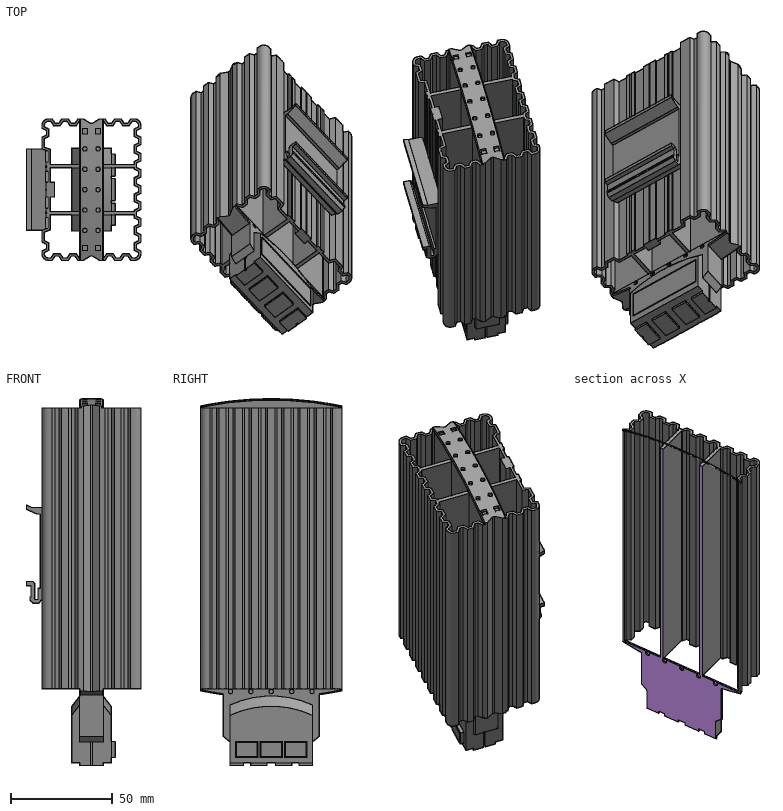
import cadquery as cq
import math

body_height = 138.8
half_width = 24.5
half_depth = 35.0
wall = 1.3
corner_radius = 3.3

end_pitch = 8.0
end_trough_x = 9.0
trough_depth = 2.2
end_trough_floor_half = 0.9
end_trough_mouth_half = 2.4
side_trough_floor_half = 1.0
side_trough_mouth_half = 2.2
end_troughs = [
    -end_trough_x - end_pitch,
    -end_trough_x,
    end_trough_x,
    end_trough_x + end_pitch,
]
outer_side_trough_y = 28.0
side_trough_count = 8
side_pitch = 2 * outer_side_trough_y / (side_trough_count - 1)
side_troughs = [i * side_pitch - outer_side_trough_y for i in range(side_trough_count)]

groove_mouth_half = 4.0
groove_floor_half = 0.5
groove_depth = 2.2

recess_half = 20.1
recess_floor_half = 19.0
recess_x = -21.5

rib_y = 11.6
rib_thickness = 1.8
pad_y = 11.5
pad_width = 4.7
boss_width = 7.5
boss_inner_x = -18.1
mark_depth = 0.4
marks = ((-pad_y, 0.5), (0, 0.27), (pad_y, 0.5))

core_half = 5.0
cap_width = 11.8
cap_half = cap_width / 2
cap_chamfer = 0.5
cap_thickness = 0.7
cap_edge = 0.9
cap_rise = 4.5
outer_vent_y = 20.1
vent_count = 5
vent_pitch = 2 * outer_vent_y / (vent_count - 1)
vent_diameter = 2.2
vent_depth = 1.5
vent_x = 3.3
side_vent_z = -1.3
square_y = 28.8
square_size = 2.5

clip_half_length = 20.1
clip_back_x = -22.5
clip_face_x = -25.4
overall_width = 56.5
clip_tip_x = half_width - overall_width

neck_half_depth = 23.7
neck_bottom = -23.4
neck_tip = -26.1
block_half_width = 9.8
block_half_depth = 20.5
block_bottom = -36.5
overall_height = 181.2
part_bottom = body_height + cap_rise - overall_height
shoulder_inner_crown = -3.5
shoulder_outer_crown = -8.5
shoulder_drop = 4.5
slit_width = 0.9
slit_depth = 0.7
label_half_depth = 19.0
label_top = -14.7
label_bottom = -31.5
label_recess = 0.4
tooth_half_width = cap_half
outer_tooth_inner_y = 13.5
inner_tooth_y = (2.0, 10.1)
button_width = 11.0
button_pitch = 12.1
button_height = 2.2
button_top = -26.0
button_bottom = -33.9
button_chamfer = 0.45


def box(x0, x1, y0, y1, z0, z1):
    """Box between two opposite corners."""
    size = (x1 - x0, y1 - y0, z1 - z0)
    return cq.Workplane("XY").box(*size, centered=False).translate((x0, y0, z0))


def trough(centre, floor_half, mouth_half):
    """Trough points as (place along the side, depth below the side)."""
    return [
        (centre - mouth_half, 0),
        (centre - floor_half, trough_depth),
        (centre + floor_half, trough_depth),
        (centre + mouth_half, 0),
    ]


def end_trough(centre):
    """Trough of the +Y and -Y sides."""
    return trough(centre, end_trough_floor_half, end_trough_mouth_half)


def side_trough(centre):
    """Trough of the +X and -X sides."""
    return trough(centre, side_trough_floor_half, side_trough_mouth_half)


def end_side():
    """Points along the +Y side, from -X to +X."""
    groove = [
        (-groove_mouth_half, 0),
        (-groove_floor_half, groove_depth),
        (groove_floor_half, groove_depth),
        (groove_mouth_half, 0),
    ]
    steps = end_trough(end_troughs[0]) + end_trough(end_troughs[1]) + groove
    steps += end_trough(end_troughs[2]) + end_trough(end_troughs[3])
    return [(x, half_depth - depth) for x, depth in steps]


def housing_outline():
    """Closed outer outline of the housing, drawn clockwise from the -X side."""
    end_points = end_side()
    right_points = [(half_width - d, y) for c in side_troughs for y, d in side_trough(c)][::-1]
    low_trough = [(d - half_width, y) for y, d in side_trough(side_troughs[0])]
    recess = [
        (-half_width, -recess_half),
        (recess_x, -recess_floor_half),
        (recess_x, recess_floor_half),
        (-half_width, recess_half),
    ]
    high_trough = [(d - half_width, y) for y, d in side_trough(side_troughs[-1])]

    r = corner_radius
    flat_x = half_width - r
    flat_y = half_depth - r
    outline = cq.Workplane("XY").moveTo(-half_width, -flat_y)
    for point in low_trough + recess + high_trough + [(-half_width, flat_y)]:
        outline = outline.lineTo(*point)
    outline = outline.radiusArc((-flat_x, half_depth), r)
    for point in end_points + [(flat_x, half_depth)]:
        outline = outline.lineTo(*point)
    outline = outline.radiusArc((half_width, flat_y), r)
    for point in right_points + [(half_width, -flat_y)]:
        outline = outline.lineTo(*point)
    outline = outline.radiusArc((flat_x, -half_depth), r)
    for x, y in end_points[::-1] + [(-flat_x, half_depth)]:
        outline = outline.lineTo(x, -y)
    return outline.radiusArc((-half_width, -flat_y), r).close()


def housing():
    """Corrugated shell with its two ribs and the pads of the recessed wall."""
    outer = housing_outline().extrude(body_height)
    inner = housing_outline().offset2D(-wall, "intersection").extrude(body_height)
    shell = outer.cut(inner)

    wall_middle = recess_x + wall / 2
    rib_end = half_width - trough_depth - wall / 2
    for y in (-rib_y, rib_y):
        shell = shell.union(
            box(wall_middle, rib_end, y - rib_thickness / 2, y + rib_thickness / 2, 0, body_height)
        )
    for y in (-pad_y, pad_y):
        shell = shell.union(
            box(clip_back_x, wall_middle, y - pad_width / 2, y + pad_width / 2, 0, body_height)
        )
    shell = shell.union(
        box(clip_back_x, boss_inner_x, -boss_width / 2, boss_width / 2, 0, body_height)
    )
    for y, half in marks:
        mark = (
            cq.Workplane("XY")
            .polyline([(clip_back_x, y - half), (clip_back_x, y + half), (clip_back_x + mark_depth, y)])
            .close()
            .extrude(body_height)
        )
        shell = shell.cut(mark)
    return shell


def core():
    """Solid core between the V grooves, with a wider arched cap at the top and the bottom."""
    arched = (
        cq.Workplane("YZ")
        .moveTo(-half_depth, -cap_edge)
        .lineTo(-half_depth, body_height + cap_edge)
        .threePointArc((0, body_height + cap_rise), (half_depth, body_height + cap_edge))
        .lineTo(half_depth, -cap_edge)
        .threePointArc((0, -cap_rise), (-half_depth, -cap_edge))
        .close()
        .extrude(cap_half, both=True)
        .edges("%CIRCLE")
        .chamfer(cap_chamfer)
    )
    relief = (
        cq.Workplane("YZ", origin=(core_half, 0, 0))
        .moveTo(-half_depth, 0)
        .lineTo(-half_depth, body_height + cap_edge - cap_thickness)
        .threePointArc(
            (0, body_height + cap_rise - cap_thickness),
            (half_depth, body_height + cap_edge - cap_thickness),
        )
        .lineTo(half_depth, 0)
        .close()
        .extrude(cap_half - core_half)
    )
    arched = arched.cut(relief).cut(relief.mirror("YZ"))
    full_height = body_height + 2 * cap_rise
    footprint = housing_outline().extrude(full_height).translate((0, 0, -cap_rise))
    return arched.intersect(footprint)


def cap_height(y):
    """Height of the top cap surface at a place along Y."""
    sagitta = cap_rise - cap_edge
    radius = (half_depth**2 + sagitta**2) / (2 * sagitta)
    return body_height + cap_rise - radius + math.sqrt(radius**2 - y**2)


def cut_vents(part):
    """Blind round vents in the top cap and the bottom cap sides, and square end pockets."""
    drill = cq.Workplane("XY").circle(vent_diameter / 2).extrude(vent_depth, both=True)
    side_drill = cq.Workplane("YZ").circle(vent_diameter / 2).extrude(vent_depth, both=True)
    for i in range(vent_count):
        y = i * vent_pitch - outer_vent_y
        for side in (-1, 1):
            part = part.cut(drill.translate((side * vent_x, y, cap_height(y))))
            part = part.cut(side_drill.translate((side * cap_half, y, side_vent_z)))
    for y in (-square_y, square_y):
        squares = (
            cq.Workplane("XY", origin=(0, y, cap_height(y) - vent_depth))
            .pushPoints([(-vent_x, 0), (vent_x, 0)])
            .rect(square_size, square_size)
            .extrude(2 * vent_depth)
        )
        part = part.cut(squares)
    return part


def rail_clip():
    """Clip with a wedge hook at the top and a spring hook at the bottom."""
    profile = [
        (clip_back_x, 89.7),
        (-29.5, 89.7),
        (clip_tip_x, 90.8),
        (clip_tip_x, 88.6),
        (-26.8, 86.2),
        (clip_face_x, 86.2),
        (clip_face_x, 49.8),
        (-26.5, 49.8),
        (-26.5, 44.2),
        (-27.9, 44.2),
        (-27.9, 52.0),
        (-28.8, 53.0),
        (clip_tip_x, 53.0),
        (clip_tip_x, 51.0),
        (-29.9, 51.0),
        (-29.9, 45.5),
        (-30.5, 45.5),
        (-30.5, 43.8),
        (-28.8, 42.2),
        (-26.0, 42.2),
        (-24.8, 43.8),
        (clip_back_x, 43.8),
    ]
    return cq.Workplane("XZ").polyline(profile).close().extrude(clip_half_length, both=True)


def block_section(workplane, crown):
    """Section of the connector block with its arched top, on a YZ plane."""
    edge = crown - shoulder_drop
    return (
        workplane.moveTo(-block_half_depth, block_bottom)
        .lineTo(-block_half_depth, edge)
        .threePointArc((0, crown), (block_half_depth, edge))
        .lineTo(block_half_depth, block_bottom)
        .close()
    )


def connector_block():
    """Block with sloping arched shoulders on its +X and -X sides."""
    middle = block_section(cq.Workplane("YZ"), shoulder_inner_crown).extrude(cap_half, both=True)
    start = cq.Workplane("YZ", origin=(cap_half, 0, 0))
    shoulder = block_section(start, shoulder_inner_crown)
    shoulder = shoulder.workplane(offset=block_half_width - cap_half, origin=(cap_half, 0, 0))
    shoulder = block_section(shoulder, shoulder_outer_crown).loft(ruled=True)
    return middle.union(shoulder).union(shoulder.mirror("YZ"))


def neck():
    """Tongue joining the core to the connector block, tapered at its lower corners."""
    profile = [
        (-neck_half_depth, 0),
        (-neck_half_depth, neck_bottom),
        (-block_half_depth, neck_tip),
        (block_half_depth, neck_tip),
        (neck_half_depth, neck_bottom),
        (neck_half_depth, 0),
    ]
    return cq.Workplane("YZ").polyline(profile).close().extrude(cap_half, both=True)


def connector():
    """Connector block with neck, teeth, slits, label recess and terminal buttons."""
    part = connector_block().union(neck())

    inner_start, inner_end = inner_tooth_y
    for y0, y1 in ((inner_start, inner_end), (outer_tooth_inner_y, block_half_depth)):
        tooth = box(-tooth_half_width, tooth_half_width, y0, y1, part_bottom, block_bottom)
        part = part.union(tooth).union(tooth.mirror("XZ"))

    slit = box(
        -slit_width / 2, slit_width / 2,
        block_half_depth - slit_depth, block_half_depth,
        part_bottom, neck_tip,
    )
    part = part.cut(slit).cut(slit.mirror("XZ"))

    part = part.cut(
        box(
            -block_half_width, label_recess - block_half_width,
            -label_half_depth, label_half_depth,
            label_bottom, label_top,
        )
    )

    for y in (-button_pitch, 0, button_pitch):
        button = box(
            block_half_width, block_half_width + button_height,
            y - button_width / 2, y + button_width / 2,
            button_bottom, button_top,
        )
        part = part.union(button.faces(">X").chamfer(button_chamfer))
    return part


solid_core = cut_vents(core().union(connector()))
result = housing().union(solid_core).union(rail_clip())